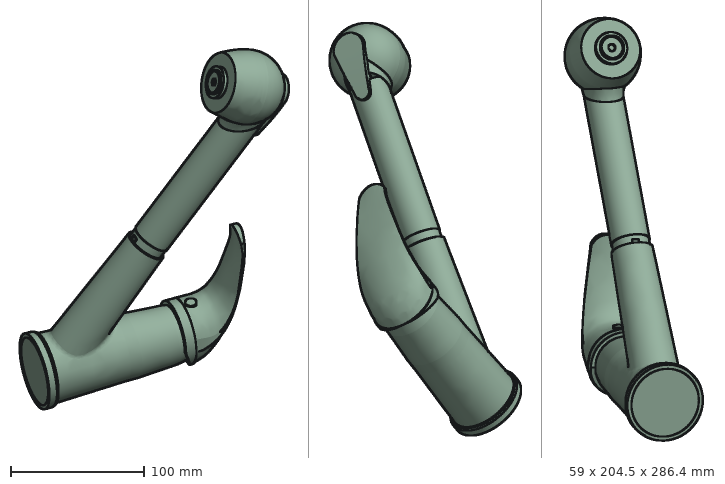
import cadquery as cq
import math


FLANGE_RADIUS = 29.5
FLANGE_THICKNESS = 7.7
FLANGE_CHAMFER = 0.8
FLANGE_CHAMFER_LENGTH = 1.8
SEAT_RADIUS = 26.3
SEAT_DEPTH = 0.2
SHELL_BASE_RADIUS = 27.4
BAND_RADIUS = 25.1
BAND_START = 68.0
BAND_END = 77.4
SHELL_END = 109.0
SHELL_END_RADIUS = 23.1
NECK_END = 122.0
NECK_END_RADIUS = 20.8

SPOUT_ROOT_Y = 16.5
SPOUT_ELEVATION = 52.0
SOCKET_LENGTH = 120.2
SOCKET_ROOT_RADIUS = 19.2
SOCKET_TIP_RADIUS = 15.9
SOCKET_FILLET = 4.0
EDGE_MARGIN = 1.0
COLLAR_LENGTH = 7.2
COLLAR_RADIUS = 14.2
KEYWAY_WIDTH = 5.0
KEYWAY_LENGTH = 3.5
KEYWAY_DEPTH = 1.0
WAND_RADIUS = 14.7
WAND_START = SOCKET_LENGTH + COLLAR_LENGTH
WAND_END = 252.0

NECK_SECTIONS = [(195.0, 168.8, 14.72, 18.65), (200.0, 171.0, 15.6, 20.0), (206.0, 172.5, 18.0, 22.0)]

HEAD_FACE_Y = 149.3
HEAD_FACE_Z = 236.55
HEAD_TILT = 27.0
HEAD_FACE_RADIUS = 22.8
HEAD_RADIUS = 28.3
HEAD_DEPTH = 26.4
HEAD_SIDE_MID_RADIUS = 26.8
NOZZLE_RADIUS = 12.1
NOZZLE_HEIGHT = 3.2
INSERT_RADIUS = 9.2
INSERT_HEIGHT = 4.9
RECESS_RADIUS = 8.2
RECESS_DEPTH = 0.8
OUTLET_RADIUS = 2.7
OUTLET_DEPTH = 2.0

BUTTON_TOP_RADIUS = 12.5
BUTTON_BOTTOM_RADIUS = 6.0
BUTTON_TIP_THICKNESS = 3.6
BUTTON_ROOT_THICKNESS = 7.0
BUTTON_TOP = (204.48, 223.9)
BUTTON_MIDDLE = (194.3, 202.5)
BUTTON_BOTTOM = (176.6, 177.1)

SLEEVE_START = 112.6
SLEEVE_RADIUS = 25.8
SLEEVE_LIP = (120.9, -24.9)
SLEEVE_END = SLEEVE_LIP[0]
PLUG_Y = 127.0
PLUG_RADIUS = 4.4
PLUG_HEIGHT = 0.9
PLUG_DEPTH = 2.0
TIP_START = 81.0
TIP_HEIGHT = 88.4
TIP_HALF_WIDTH = 11.0
TIP_BACK_Y = 167.3
TIP_SHOULDER = 2.0
LEVER_SECTIONS = [
    ((SLEEVE_END, SLEEVE_RADIUS), SLEEVE_LIP, 16.3, 9.5, 24.0, SLEEVE_RADIUS),
    ((128.0, SLEEVE_RADIUS), (128.0, -22.0), 16.3, 9.0, 24.0, 25.7),
    ((136.0, SLEEVE_RADIUS), (136.0, -15.3), 16.3, 5.0, 24.0, 25.3),
    ((144.0, 29.0), (148.8, 5.3), 12.5, 2.5, 22.6, 23.0),
    ((149.0, 34.5), (156.5, 24.0), 8.0, 1.2, 20.3, 20.3),
    ((157.0, 54.0), (162.7, 51.0), 4.0, 1.8, 15.8, 15.8),
    ((160.8, 70.0), (166.0, 69.5), 3.0, 2.0, 12.4, 12.4),
    ((162.2, TIP_START), (167.0, TIP_START), 1.0, 3.0, TIP_HALF_WIDTH, TIP_HALF_WIDTH),
    ((162.2, TIP_HEIGHT), (TIP_BACK_Y, TIP_HEIGHT), 1.0, 3.0, TIP_HALF_WIDTH, TIP_HALF_WIDTH),
]


def along_y(radius, start, end, end_radius=None):
    """Cylinder or cone about the Y axis."""
    tip = radius if end_radius is None else end_radius
    outline = [(0, start), (radius, start), (tip, end), (0, end)]
    return cq.Workplane("XY").polyline(outline).close().revolve(360, (0, 0), (0, 1))


def spout_plane(distance):
    """Plane across the spout axis; local X is the part's X, local Y points down and toward +Y."""
    angle = math.radians(SPOUT_ELEVATION)
    return cq.Plane(
        origin=(0, SPOUT_ROOT_Y + distance * math.cos(angle), distance * math.sin(angle)),
        xDir=(1, 0, 0),
        normal=(0, math.cos(angle), math.sin(angle)),
    )


def head_plane():
    """Plane of the spray face; its normal points out of the face."""
    angle = math.radians(HEAD_TILT)
    return cq.Plane(
        origin=(0, HEAD_FACE_Y, HEAD_FACE_Z),
        xDir=(1, 0, 0),
        normal=(0, -math.cos(angle), math.sin(angle)),
    )


def make_neck():
    return along_y(SHELL_END_RADIUS, SHELL_END, NECK_END, NECK_END_RADIUS)


def make_flange():
    chamfer_start = FLANGE_THICKNESS - FLANGE_CHAMFER_LENGTH
    flange = along_y(FLANGE_RADIUS, 0, chamfer_start)
    rim = along_y(FLANGE_RADIUS, chamfer_start, FLANGE_THICKNESS, FLANGE_RADIUS - FLANGE_CHAMFER)
    return flange.union(rim)


def make_socket():
    """Tapered socket from inside the shell up to the lip."""
    return (
        cq.Workplane(spout_plane(0)).circle(SOCKET_ROOT_RADIUS)
        .workplane(offset=SOCKET_LENGTH).circle(SOCKET_TIP_RADIUS)
        .loft(ruled=True)
    )


def make_collar():
    """Collar between socket lip and wand, with a keyway on its upper side."""
    collar = cq.Workplane(spout_plane(SOCKET_LENGTH)).circle(COLLAR_RADIUS).extrude(COLLAR_LENGTH)
    keyway = (
        cq.Workplane(spout_plane(SOCKET_LENGTH))
        .center(0, -COLLAR_RADIUS).rect(KEYWAY_WIDTH, 2 * KEYWAY_DEPTH).extrude(KEYWAY_LENGTH)
    )
    return collar.cut(keyway)


def make_body():
    shell = (
        along_y(SHELL_BASE_RADIUS, FLANGE_THICKNESS, BAND_START, BAND_RADIUS)
        .union(along_y(BAND_RADIUS, BAND_START, BAND_END))
        .union(along_y(BAND_RADIUS, BAND_END, SHELL_END, SHELL_END_RADIUS))
    )
    body = shell.union(make_socket())
    joint = cq.selectors.BoxSelector(
        (-SHELL_BASE_RADIUS, FLANGE_THICKNESS + EDGE_MARGIN, EDGE_MARGIN),
        (SHELL_BASE_RADIUS, BAND_START - EDGE_MARGIN, FLANGE_RADIUS),
    )
    body = body.edges(joint).fillet(SOCKET_FILLET)
    seat = along_y(SEAT_RADIUS, 0, SEAT_DEPTH)
    return body.union(make_flange()).union(make_neck()).union(make_collar()).cut(seat)


def make_head():
    """Domed head turned about the spray axis."""
    dome_mid = HEAD_RADIUS * math.sqrt(0.5)
    profile = (
        cq.Workplane(cq.Plane(head_plane().origin, (1, 0, 0), head_plane().yDir.multiply(-1)))
        .moveTo(0, 0).lineTo(HEAD_FACE_RADIUS, 0)
        .threePointArc((HEAD_SIDE_MID_RADIUS, -HEAD_DEPTH / 2), (HEAD_RADIUS, -HEAD_DEPTH))
        .threePointArc((dome_mid, -HEAD_DEPTH - dome_mid), (0, -HEAD_DEPTH - HEAD_RADIUS))
        .close()
    )
    return profile.revolve(360, (0, 0), (0, 1))


def make_wand_neck():
    """Flared neck between tube and head, lofted through level ellipses."""
    neck = cq.Workplane("XY")
    level = 0
    for height, center_y, half_x, half_y in NECK_SECTIONS:
        neck = neck.workplane(offset=height - level).center(0, center_y)
        neck = neck.ellipse(half_x, half_y).center(0, -center_y)
        level = height
    return neck.loft()


def make_button():
    """Bent teardrop plate bearing on the back of the head and of the tube."""
    run = BUTTON_TOP[0] - BUTTON_BOTTOM[0]
    rise = BUTTON_TOP[1] - BUTTON_BOTTOM[1]
    half_length = math.hypot(run, rise) / 2
    along = (run / (2 * half_length), rise / (2 * half_length))
    inward = (-along[1], along[0])

    def inner_point(outer, thickness):
        return outer[0] + thickness * inward[0], outer[1] + thickness * inward[1]

    plate = (
        cq.Workplane("YZ").moveTo(*BUTTON_TOP)
        .threePointArc(BUTTON_MIDDLE, BUTTON_BOTTOM)
        .lineTo(*inner_point(BUTTON_BOTTOM, BUTTON_ROOT_THICKNESS))
        .lineTo(*inner_point(BUTTON_MIDDLE, BUTTON_ROOT_THICKNESS))
        .lineTo(*inner_point(BUTTON_TOP, BUTTON_TIP_THICKNESS))
        .close().extrude(BUTTON_TOP_RADIUS, both=True)
    )
    middle = cq.Plane(
        origin=(0, BUTTON_BOTTOM[0] + run / 2, BUTTON_BOTTOM[1] + rise / 2),
        xDir=(0, *along),
        normal=(0, *inward),
    )
    top_center = half_length - BUTTON_TOP_RADIUS
    bottom_center = BUTTON_BOTTOM_RADIUS - half_length
    outline = (
        cq.Workplane(middle).moveTo(top_center, -BUTTON_TOP_RADIUS)
        .threePointArc((half_length, 0), (top_center, BUTTON_TOP_RADIUS))
        .lineTo(bottom_center, BUTTON_BOTTOM_RADIUS)
        .threePointArc((-half_length, 0), (bottom_center, -BUTTON_BOTTOM_RADIUS))
        .close().extrude(2 * BUTTON_TOP_RADIUS, both=True)
    )
    return plate.intersect(outline)


def make_nozzle():
    ring = cq.Workplane(head_plane()).circle(NOZZLE_RADIUS).extrude(NOZZLE_HEIGHT)
    insert = cq.Workplane(head_plane()).circle(INSERT_RADIUS).extrude(INSERT_HEIGHT)
    tip = cq.Workplane(head_plane()).workplane(offset=INSERT_HEIGHT)
    recess = tip.circle(RECESS_RADIUS).extrude(-RECESS_DEPTH)
    outlet = tip.circle(OUTLET_RADIUS).extrude(-RECESS_DEPTH - OUTLET_DEPTH)
    return ring.union(insert).cut(recess).cut(outlet)


def make_wand():
    tube = cq.Workplane(spout_plane(WAND_START)).circle(WAND_RADIUS).extrude(WAND_END - WAND_START)
    wand = tube.union(make_head()).union(make_wand_neck())
    return wand.union(make_button()).union(make_nozzle())


def make_sleeve():
    """Round sleeve over the neck; its mouth slants back to the lip below the axis."""
    cylinder = along_y(SLEEVE_RADIUS, SLEEVE_START, SLEEVE_END)
    side = (
        cq.Workplane("YZ")
        .moveTo(SLEEVE_END, SLEEVE_RADIUS).lineTo(SLEEVE_START, SLEEVE_RADIUS)
        .lineTo(SLEEVE_START, 0).lineTo(*SLEEVE_LIP)
        .close().extrude(SLEEVE_RADIUS, both=True)
    )
    return cylinder.intersect(side)


def lever_section(front, back, front_depth, edge_depth, front_half, back_half):
    """Closed wire across the lever: crowned front, two narrow side edges, crowned back."""
    run = back[0] - front[0]
    drop = front[1] - back[1]
    depth = math.hypot(run, drop)
    plane = cq.Plane(
        origin=(0, *front),
        xDir=(1, 0, 0),
        normal=(0, drop / depth, run / depth),
    )
    edge_end = front_depth + edge_depth
    section = (
        cq.Workplane(plane).moveTo(-front_half, front_depth)
        .threePointArc((0, 0), (front_half, front_depth))
        .lineTo(back_half, edge_end)
        .threePointArc((0, depth), (-back_half, edge_end))
        .close()
    )
    return section.val()


def make_lever_outline():
    """Block that rounds the tip, seen along Y, and leaves the rest of the lever whole."""
    shoulder = TIP_START - TIP_SHOULDER
    return (
        cq.Workplane("XZ").moveTo(-SLEEVE_RADIUS, -SLEEVE_RADIUS)
        .lineTo(SLEEVE_RADIUS, -SLEEVE_RADIUS)
        .lineTo(SLEEVE_RADIUS, shoulder)
        .lineTo(TIP_HALF_WIDTH, TIP_START)
        .threePointArc((0, TIP_HEIGHT), (-TIP_HALF_WIDTH, TIP_START))
        .lineTo(-SLEEVE_RADIUS, shoulder)
        .close().extrude(-2 * TIP_BACK_Y)
    )


def make_lever():
    wires = [lever_section(*section) for section in LEVER_SECTIONS]
    return cq.Workplane(cq.Solid.makeLoft(wires)).intersect(make_lever_outline())


def make_plug():
    """Round plug over the lever screw, standing slightly proud of the sleeve."""
    return (
        cq.Workplane("XY").workplane(offset=SLEEVE_RADIUS - PLUG_DEPTH).center(0, PLUG_Y)
        .circle(PLUG_RADIUS).extrude(PLUG_DEPTH + PLUG_HEIGHT)
    )


def make_handle():
    return make_sleeve().union(make_lever()).union(make_plug()).cut(make_neck())


body = make_body()
wand = make_wand()
handle = make_handle()

result = cq.Compound.makeCompound([body.val(), wand.val(), handle.val()])